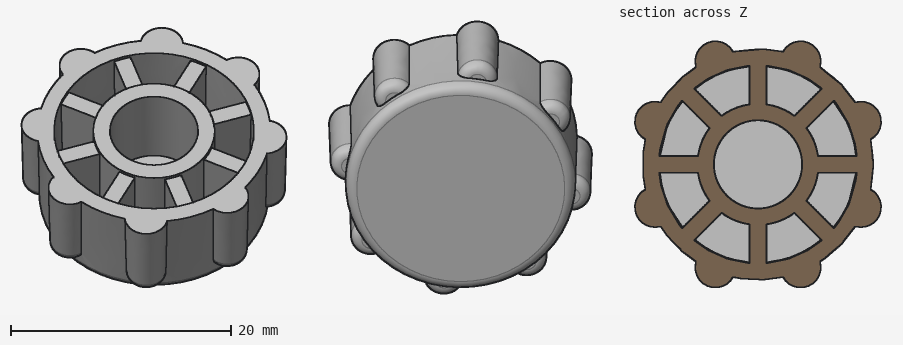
import cadquery as cq
import math

height = 10.0
overall_width = 22.57
draft_angle = 1.0
body_top_radius = 10.59
wall_thickness = 1.51
floor_thickness = 1.5
edge_round = 1.0

hub_radius = 5.5
bore_radius = 4.0

rib_count = 8
rib_width = 1.55
rib_recess = 0.3

lobe_count = 8
lobe_radius = 1.95
lobe_bottom = 1.5

cavity_radius = body_top_radius - wall_thickness
cavity_depth = height - floor_thickness
lobe_pitch = 360 / lobe_count
lobe_center = (overall_width / 2 - lobe_radius) / math.cos(math.radians(lobe_pitch / 2))


def make_body():
    """Drafted round body with a rounded base."""
    body = cq.Workplane("XY").workplane(offset=height).circle(body_top_radius)
    body = body.extrude(-height, taper=draft_angle)
    return body.faces("<Z").edges().fillet(edge_round)


def make_cavity():
    """Drafted volume hollowed out of the body from the top."""
    cavity = cq.Workplane("XY").workplane(offset=height).circle(cavity_radius)
    return cavity.extrude(-cavity_depth, taper=draft_angle)


def make_lobe():
    """Drafted round grip lobe on the +X axis with a rounded bottom edge."""
    profile = cq.Workplane("XY").workplane(offset=height).center(lobe_center, 0).circle(lobe_radius)
    lobe = profile.extrude(lobe_bottom - height, taper=draft_angle)
    return lobe.faces("<Z").edges().fillet(edge_round)


def make_ribs():
    """Radial ribs between the hub and the wall, set below the rim."""
    start = (bore_radius + hub_radius) / 2
    end = cavity_radius + wall_thickness / 4
    rib = cq.Workplane("XY").box(
        end - start, rib_width, height - rib_recess - floor_thickness, centered=(False, True, False)
    )
    rib = rib.translate((start, 0, floor_thickness))
    ribs = cq.Workplane("XY")
    for index in range(rib_count):
        ribs = ribs.add(rib.rotate((0, 0, 0), (0, 0, 1), index * 360 / rib_count))
    return ribs.combine()


def make_hub():
    """Central sleeve standing on the floor, flush with the rim."""
    hub = cq.Workplane("XY").workplane(offset=floor_thickness)
    return hub.circle(hub_radius).circle(bore_radius).extrude(cavity_depth)


result = make_body()
lobe = make_lobe()
for index in range(lobe_count):
    angle = (index + 0.5) * lobe_pitch
    result = result.union(lobe.rotate((0, 0, 0), (0, 0, 1), angle))
result = result.cut(make_cavity())
result = result.union(make_hub()).union(make_ribs())